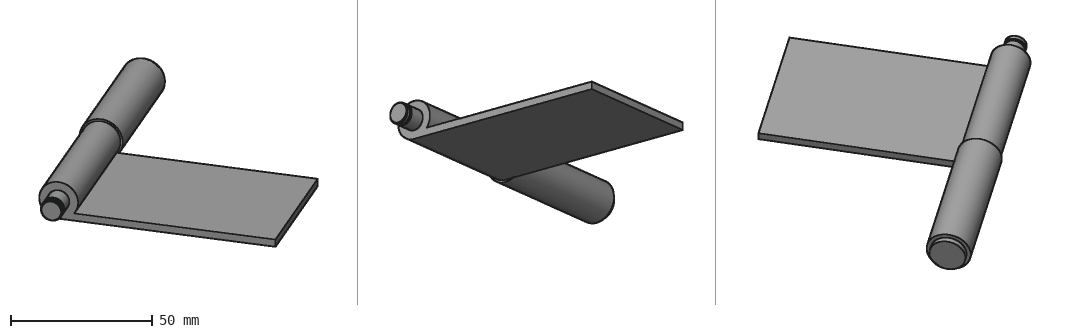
import cadquery as cq

barrel_length = 52.0
sleeve_diameter = 16.0
knuckle_diameter = 14.4
leaf_thickness = 2.9
overall_width = 88.0

pin_diameter = 7.9
pin_projection = 9.0
pin_chamfer = 0.3
groove_width = 0.8
groove_depth = 0.2
groove_to_tip = 2.0
head_diameter = 13.0
head_height = 2.1

leaf_reach = overall_width - sleeve_diameter / 2
pin_tip_y = -barrel_length - pin_projection


def cylinder_along_y(diameter, start_y, length):
    """Solid cylinder on the hinge axis, running from start_y toward +Y."""
    return (
        cq.Workplane("XZ", origin=(0, start_y, 0))
        .circle(diameter / 2)
        .extrude(-length)
    )


def make_leaf():
    """Flat plate tangent to the underside of its bored knuckle."""
    knuckle = cylinder_along_y(knuckle_diameter, -barrel_length, barrel_length)
    plate = cq.Workplane("XY").box(
        leaf_reach, barrel_length, leaf_thickness, centered=False
    ).translate((0, -barrel_length, -knuckle_diameter / 2))
    bore = cylinder_along_y(pin_diameter, -barrel_length, barrel_length)
    return knuckle.union(plate).cut(bore)


def make_sleeve():
    """Plain tube that continues the hinge barrel beyond the leaf."""
    tube = cylinder_along_y(sleeve_diameter, 0, barrel_length)
    bore = cylinder_along_y(pin_diameter, 0, barrel_length)
    return tube.cut(bore)


def make_pin():
    """Headed pin through both barrels, with a ring groove near its tip."""
    shank = cylinder_along_y(pin_diameter, pin_tip_y, barrel_length - pin_tip_y)
    shank = shank.faces("<Y").chamfer(pin_chamfer)

    groove_y = pin_tip_y + groove_to_tip
    groove_ring = cylinder_along_y(pin_diameter, groove_y, groove_width).cut(
        cylinder_along_y(pin_diameter - 2 * groove_depth, groove_y, groove_width)
    )

    head = cylinder_along_y(head_diameter, barrel_length, head_height)
    return shank.cut(groove_ring).union(head)


leaf = make_leaf()
sleeve = make_sleeve()
pin = make_pin()

result = cq.Compound.makeCompound([leaf.val(), sleeve.val(), pin.val()])